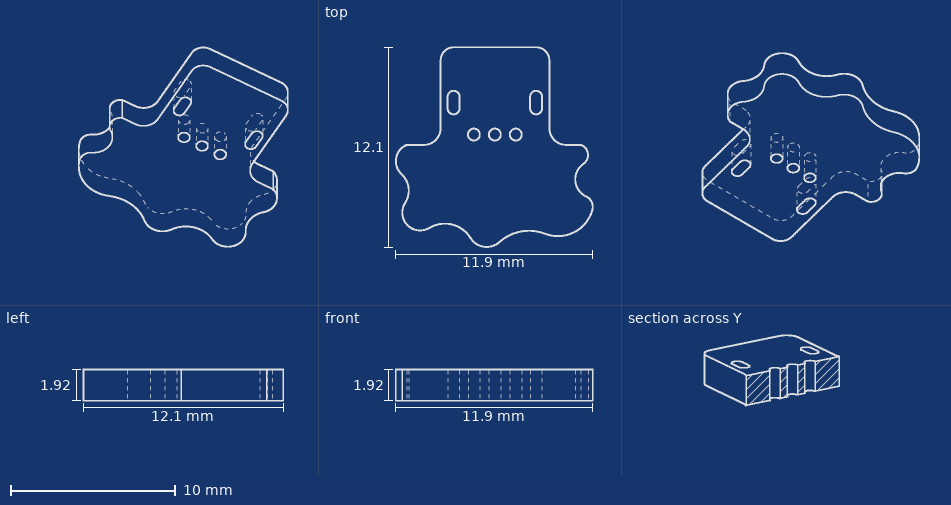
import cadquery as cq
import math

thickness = 1.92

neck_width = 6.61
neck_height = 5.92
neck_corner_radius = 0.82
shoulder_fillet_radius = 1.0

hole_diameter = 0.71
hole_pitch = 1.27
hole_count = 3
hole_row_x = -0.01
hole_row_y = 0.62

slot_width = hole_diameter
slot_length = 2 * slot_width
slot_spacing = 5.0
slot_pair_x = hole_row_x
slot_y = 2.56

upper_left_lobe = ((-4.95, -0.99), 1.065)
lower_left_lobe = ((-4.535, -4.11), 1.09)
bottom_lobe = ((-0.505, -5.05), 1.15)
right_lobe = ((3.815, -3.375), 2.17)
upper_right_lobe = ((4.99, -0.62), 0.655)

nose_radius = 0.70
nose_direction = math.radians(-15.4)

left_valley_radius = 1.37
lower_left_valley_radius = 1.82
lower_right_valley_radius = 2.68
right_valley_radius = 1.14


def point_at(circle, direction, distance):
    """Point at the given distance from a circle's centre along a direction."""
    (x, y), _ = circle
    return (x + distance * math.cos(direction), y + distance * math.sin(direction))


def direction_between(start, end):
    return math.atan2(end[1] - start[1], end[0] - start[0])


def nose_of(lobe):
    """Smaller circle touching a lobe from inside."""
    return (point_at(lobe, nose_direction, lobe[1] - nose_radius), nose_radius)


def valley_between(first, second, radius):
    """Circle touching two lobes from outside, on the right when going first to second."""
    reach_first = first[1] + radius
    reach_second = second[1] + radius
    gap = math.dist(first[0], second[0])
    cosine = (reach_first**2 + gap**2 - reach_second**2) / (2 * reach_first * gap)
    direction = direction_between(first[0], second[0]) - math.acos(cosine)
    return (point_at(first, direction, reach_first), radius)


def contact(lobe, valley):
    """Point where a lobe and a valley touch."""
    return point_at(lobe, direction_between(lobe[0], valley[0]), lobe[1])


def shoulder_end(lobe, side):
    """Outer point where a lobe crosses the shoulder line; side is -1 left, +1 right."""
    (x, y), radius = lobe
    return (x + side * math.sqrt(radius**2 - y**2), 0)


def arc_to(sketch, circle, start, end, turn):
    """Follow a circle from start to end; turn is +1 counterclockwise, -1 clockwise."""
    start_direction = direction_between(circle[0], start)
    end_direction = direction_between(circle[0], end)
    sweep = turn * ((turn * (end_direction - start_direction)) % (2 * math.pi))
    middle = point_at(circle, start_direction + sweep / 2, circle[1])
    return sketch.threePointArc(middle, end)


def make_skirt():
    nose = nose_of(right_lobe)
    left_valley = valley_between(upper_left_lobe, lower_left_lobe, left_valley_radius)
    lower_left_valley = valley_between(lower_left_lobe, bottom_lobe, lower_left_valley_radius)
    lower_right_valley = valley_between(bottom_lobe, right_lobe, lower_right_valley_radius)
    right_valley = valley_between(nose, upper_right_lobe, right_valley_radius)

    arcs = [
        (upper_left_lobe, contact(upper_left_lobe, left_valley), 1),
        (left_valley, contact(lower_left_lobe, left_valley), -1),
        (lower_left_lobe, contact(lower_left_lobe, lower_left_valley), 1),
        (lower_left_valley, contact(bottom_lobe, lower_left_valley), -1),
        (bottom_lobe, contact(bottom_lobe, lower_right_valley), 1),
        (lower_right_valley, contact(right_lobe, lower_right_valley), -1),
        (right_lobe, point_at(right_lobe, nose_direction, right_lobe[1]), 1),
        (nose, contact(nose, right_valley), 1),
        (right_valley, contact(upper_right_lobe, right_valley), -1),
        (upper_right_lobe, shoulder_end(upper_right_lobe, 1), 1),
    ]
    start = shoulder_end(upper_left_lobe, -1)
    sketch = cq.Workplane("XY").moveTo(*start)
    for circle, end, turn in arcs:
        sketch = arc_to(sketch, circle, start, end, turn)
        start = end
    return sketch.close().extrude(thickness)


def make_neck():
    """Neck with rounded top corners and filleted feet on the shoulder line."""
    half_width = neck_width / 2
    foot = half_width + shoulder_fillet_radius
    side_top = neck_height - neck_corner_radius
    return (
        cq.Workplane("XY")
        .moveTo(-foot, 0)
        .lineTo(foot, 0)
        .radiusArc((half_width, shoulder_fillet_radius), shoulder_fillet_radius)
        .lineTo(half_width, side_top)
        .radiusArc((half_width - neck_corner_radius, neck_height), -neck_corner_radius)
        .lineTo(neck_corner_radius - half_width, neck_height)
        .radiusArc((-half_width, side_top), -neck_corner_radius)
        .lineTo(-half_width, shoulder_fillet_radius)
        .radiusArc((-foot, 0), shoulder_fillet_radius)
        .close()
        .extrude(thickness)
    )


def make_holes():
    return (
        cq.Workplane("XY")
        .center(hole_row_x, hole_row_y)
        .rarray(hole_pitch, 1, hole_count, 1)
        .circle(hole_diameter / 2)
        .extrude(thickness)
    )


def make_slots():
    return (
        cq.Workplane("XY")
        .center(slot_pair_x, slot_y)
        .rarray(slot_spacing, 1, 2, 1)
        .slot2D(slot_length, slot_width, 90)
        .extrude(thickness)
    )


result = make_skirt().union(make_neck()).cut(make_holes()).cut(make_slots())